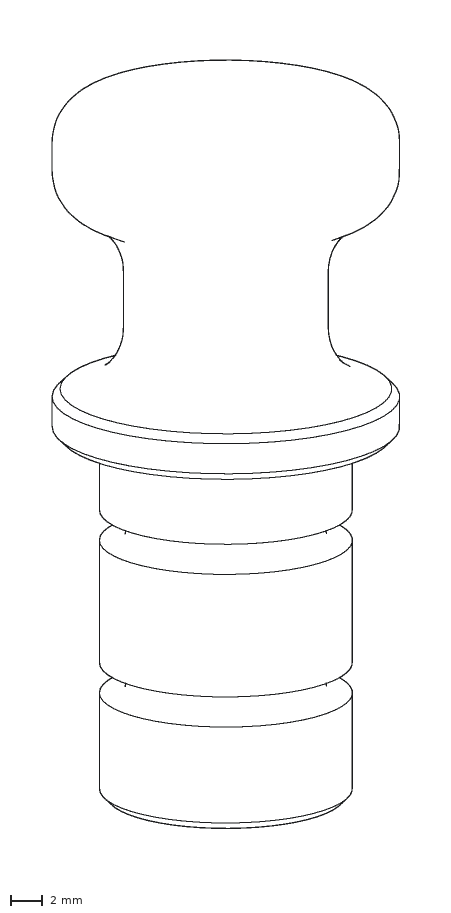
import cadquery as cq
import math

total_height = 46.0
knob_radius = 11.0
edge_break = 0.5

shank_length = 23.8
shank_radius = 8.0
groove_radius = 6.35
groove_width = 2.0
groove_top_depths = (4.95, 15.0)

neck_radius = 6.5
flange_thickness = 3.0
flare_radius = knob_radius - edge_break - neck_radius
head_round = 3.0
head_band = 2.0

flange_bottom = shank_length
flange_top = flange_bottom + flange_thickness
head_band_top = total_height - head_round
head_band_bottom = head_band_top - head_band


def arc_point(center, radius, angle):
    """Point on a circle in the radius-height plane, angle in radians."""
    return (center[0] + radius * math.cos(angle), center[1] + radius * math.sin(angle))


def revolve_about_z(profile):
    return profile.close().revolve(360, (0, 0, 0), (0, 1, 0))


def make_knob():
    head_center = (knob_radius - head_round, head_band_bottom)
    hollow_offset = neck_radius + flare_radius - head_center[0]
    center_drop = math.sqrt((head_round + flare_radius) ** 2 - hollow_offset ** 2)
    hollow_center = (neck_radius + flare_radius, head_band_bottom - center_drop)
    tangent_angle = -math.atan2(center_drop, hollow_offset)
    tangent_point = arc_point(head_center, head_round, tangent_angle)
    hollow_mid_angle = (tangent_angle + 2 * math.pi) / 2

    flare_center = (neck_radius + flare_radius, flange_top + flare_radius)
    top_center = (knob_radius - head_round, head_band_top)

    profile = (
        cq.Workplane("XZ")
        .moveTo(0, flange_bottom)
        .lineTo(knob_radius - edge_break, flange_bottom)
        .lineTo(knob_radius, flange_bottom + edge_break)
        .lineTo(knob_radius, flange_top - edge_break)
        .lineTo(knob_radius - edge_break, flange_top)
        .threePointArc(
            arc_point(flare_center, flare_radius, -3 * math.pi / 4), (neck_radius, flare_center[1])
        )
        .lineTo(neck_radius, hollow_center[1])
        .threePointArc(arc_point(hollow_center, flare_radius, hollow_mid_angle), tangent_point)
        .threePointArc(
            arc_point(head_center, head_round, tangent_angle / 2), (knob_radius, head_band_bottom)
        )
        .lineTo(knob_radius, head_band_top)
        .threePointArc(arc_point(top_center, head_round, math.pi / 4), (top_center[0], total_height))
        .lineTo(0, total_height)
    )
    return revolve_about_z(profile)


def make_groove_cutter(top):
    """Ring that cuts one groove, its two inner corners rounded."""
    bottom = top - groove_width
    corner_radius = groove_radius + edge_break
    profile = (
        cq.Workplane("XZ")
        .moveTo(knob_radius, bottom)
        .lineTo(corner_radius, bottom)
        .threePointArc(
            arc_point((corner_radius, bottom + edge_break), edge_break, -3 * math.pi / 4),
            (groove_radius, bottom + edge_break),
        )
        .lineTo(groove_radius, top - edge_break)
        .threePointArc(
            arc_point((corner_radius, top - edge_break), edge_break, 3 * math.pi / 4),
            (corner_radius, top),
        )
        .lineTo(knob_radius, top)
    )
    return revolve_about_z(profile)


def make_shank():
    shank = cq.Workplane("XY").circle(shank_radius).extrude(shank_length)
    shank = shank.faces("<Z").chamfer(edge_break)
    for depth in groove_top_depths:
        shank = shank.cut(make_groove_cutter(flange_bottom - depth))
    return shank


knob = make_knob()
shank = make_shank()

result = cq.Compound.makeCompound([knob.val(), shank.val()])